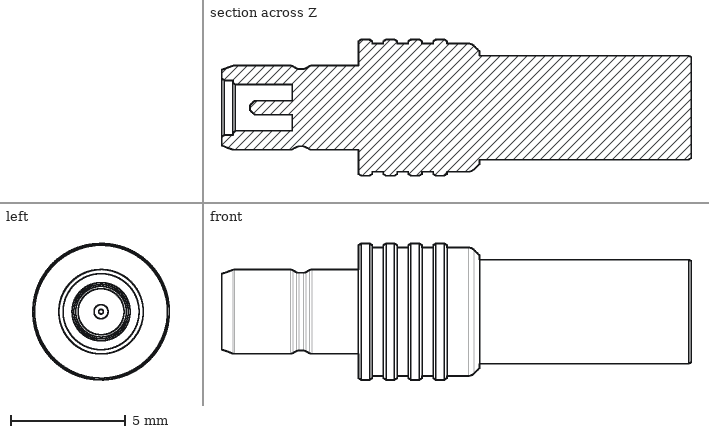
import cadquery as cq

total_length = 20.6

nose_radius = 1.85
nose_tip_radius = 1.67
nose_taper_length = 0.52
groove_start = 3.07
groove_end = 3.9
groove_radius = 1.7
groove_wall_length = 0.25
nose_blend_radius = 0.2

body_start = 6.0
body_end = 11.3
body_radius = 2.82
body_chamfer = 0.25
body_shoulder_arc_length = 0.25
rib_diameter = 6.0
rib_radius = rib_diameter / 2
rib_width = 0.62
rib_pitch = 1.1
rib_count = 4
rib_edge_length = 0.12
rib_edge_depth = 0.08

barrel_radius = 2.29
barrel_chamfer = 0.12
barrel_chamfer_depth = 0.06

mouth_radius = 1.28
entry_radius = 1.2
bore_radius = 1.0
entry_depth = 0.5
bore_depth = 3.1
mouth_chamfer_length = 0.12
step_radius = 1.11
step_chamfer_length = 0.1

pin_radius = 0.3
pin_tip_radius = 0.1
pin_start = 1.24
pin_taper_length = 0.2


def revolve_about_axis(profile):
    """Turn a closed profile, drawn as (x, radius), fully about the X axis."""
    return profile.close().revolve(360, (0, 0, 0), (1, 0, 0))


def make_nose():
    nose = revolve_about_axis(
        cq.Workplane("XY")
        .lineTo(0, nose_tip_radius)
        .lineTo(nose_taper_length, nose_radius)
        .lineTo(groove_start, nose_radius)
        .lineTo(groove_start + groove_wall_length, groove_radius)
        .lineTo(groove_end - groove_wall_length, groove_radius)
        .lineTo(groove_end, nose_radius)
        .lineTo(body_start, nose_radius)
        .lineTo(body_start, 0)
    )
    blend_zone = cq.selectors.BoxSelector(
        (nose_taper_length / 2, -nose_radius, -nose_radius),
        ((groove_end + body_start) / 2, nose_radius, nose_radius),
    )
    circles = nose.edges("%CIRCLE").edges(blend_zone)
    return circles.fillet(nose_blend_radius)


def make_body():
    arc_start = body_end - body_chamfer - body_shoulder_arc_length
    arc_drop = body_shoulder_arc_length * (2 ** 0.5 - 1)
    chamfer_start_radius = body_radius - arc_drop
    return revolve_about_axis(
        cq.Workplane("XY")
        .moveTo(body_start, 0)
        .lineTo(body_start, body_radius)
        .lineTo(arc_start, body_radius)
        .tangentArcPoint((body_end - body_chamfer, chamfer_start_radius), relative=False)
        .lineTo(body_end, chamfer_start_radius - body_chamfer)
        .lineTo(body_end, 0)
    )


def make_rib(start):
    end = start + rib_width
    edge_radius = rib_radius - rib_edge_depth
    return revolve_about_axis(
        cq.Workplane("XY")
        .moveTo(start, 0)
        .lineTo(start, edge_radius)
        .lineTo(start + rib_edge_length, rib_radius)
        .lineTo(end - rib_edge_length, rib_radius)
        .lineTo(end, edge_radius)
        .lineTo(end, 0)
    )


def make_barrel():
    return revolve_about_axis(
        cq.Workplane("XY")
        .moveTo(body_start, 0)
        .lineTo(body_start, barrel_radius)
        .lineTo(total_length - barrel_chamfer, barrel_radius)
        .lineTo(total_length, barrel_radius - barrel_chamfer_depth)
        .lineTo(total_length, 0)
    )


def make_bore():
    return revolve_about_axis(
        cq.Workplane("XY")
        .lineTo(0, mouth_radius)
        .lineTo(mouth_chamfer_length, entry_radius)
        .lineTo(entry_depth, entry_radius)
        .lineTo(entry_depth, step_radius)
        .lineTo(entry_depth + step_chamfer_length, bore_radius)
        .lineTo(bore_depth, bore_radius)
        .lineTo(bore_depth, 0)
    )


def make_pin():
    return revolve_about_axis(
        cq.Workplane("XY")
        .moveTo(pin_start, 0)
        .lineTo(pin_start, pin_tip_radius)
        .lineTo(pin_start + pin_taper_length, pin_radius)
        .lineTo(body_start, pin_radius)
        .lineTo(body_start, 0)
    )


result = make_nose().union(make_body()).union(make_barrel())
for index in range(rib_count):
    result = result.union(make_rib(body_start + index * rib_pitch))
result = result.cut(make_bore()).union(make_pin())